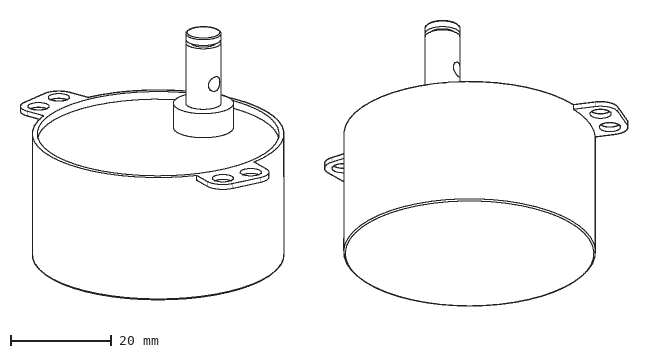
import cadquery as cq
import math

body_diameter = 50.0
body_height = 26.0
base_chamfer = 0.3
recess_diameter = 48.0
recess_depth = 1.6

shaft_y = 12.05
boss_diameter = 12.0
boss_top = 29.5
shaft_diameter = 7.0
shaft_top = 44.5
shaft_chamfer = 0.25
groove_diameter = 5.0
groove_width = 0.7
groove_to_tip = 1.5
cross_hole_diameter = 3.0
cross_hole_z = 34.5

overall_length = 64.4
lug_tilt = 10
lug_thickness = 1.0
lug_hole_diameter = 4.2
lug_hole_spacing = 6.5
lug_hole_offset = 0.85
lug_corner_radius = 3.6

lug_tilt_angle = math.radians(lug_tilt)
outer_hole_x = overall_length / 2 - lug_corner_radius
outer_hole_offset = lug_hole_offset + lug_hole_spacing / 2
lug_hole_reach = (outer_hole_x - outer_hole_offset * math.sin(lug_tilt_angle)) / math.cos(lug_tilt_angle)

floor_z = body_height - recess_depth


def make_housing():
    """Solid drum with a shallow recess inside a raised rim."""
    drum = cq.Workplane("XY").circle(body_diameter / 2).extrude(body_height)
    drum = drum.faces("<Z").edges().chamfer(base_chamfer)
    recess = cq.Workplane("XY").workplane(offset=floor_z).circle(recess_diameter / 2).extrude(recess_depth)
    return drum.cut(recess)


def make_right_lug():
    """Two-hole lug whose rounded corners are concentric with its holes."""
    inner_x = recess_diameter / 4
    outer_x = lug_hole_reach + lug_corner_radius
    length = outer_x - inner_x
    width = lug_hole_spacing + 2 * lug_corner_radius
    lug = (
        cq.Workplane("XY")
        .workplane(offset=body_height - lug_thickness)
        .center(inner_x + length / 2, lug_hole_offset)
        .rect(length, width)
        .extrude(lug_thickness)
        .edges("|Z and >X")
        .fillet(lug_corner_radius)
    )
    half_spacing = lug_hole_spacing / 2
    holes = (
        cq.Workplane("XY")
        .pushPoints([(lug_hole_reach, lug_hole_offset + side * half_spacing) for side in (-1, 1)])
        .circle(lug_hole_diameter / 2)
        .extrude(body_height)
    )
    inside = cq.Workplane("XY").circle(recess_diameter / 2).extrude(body_height)
    return lug.cut(holes).cut(inside).rotate((0, 0, 0), (0, 0, 1), -lug_tilt)


def make_shaft():
    """Boss and shaft with a retaining-ring groove and a cross hole along X."""
    floor = cq.Workplane("XY").workplane(offset=floor_z).center(0, shaft_y)
    boss = floor.circle(boss_diameter / 2).extrude(boss_top - floor_z)
    shaft = floor.circle(shaft_diameter / 2).extrude(shaft_top - floor_z)
    shaft = shaft.faces(">Z").edges().chamfer(shaft_chamfer)
    groove = (
        cq.Workplane("XY")
        .workplane(offset=shaft_top - groove_to_tip - groove_width)
        .center(0, shaft_y)
        .circle(shaft_diameter / 2)
        .circle(groove_diameter / 2)
        .extrude(groove_width)
    )
    cross_hole = (
        cq.Workplane("YZ")
        .center(shaft_y, cross_hole_z)
        .circle(cross_hole_diameter / 2)
        .extrude(shaft_diameter, both=True)
    )
    return boss.union(shaft.cut(groove).cut(cross_hole))


right_lug = make_right_lug()
left_lug = right_lug.mirror("YZ")
result = make_housing().union(right_lug).union(left_lug).union(make_shaft())